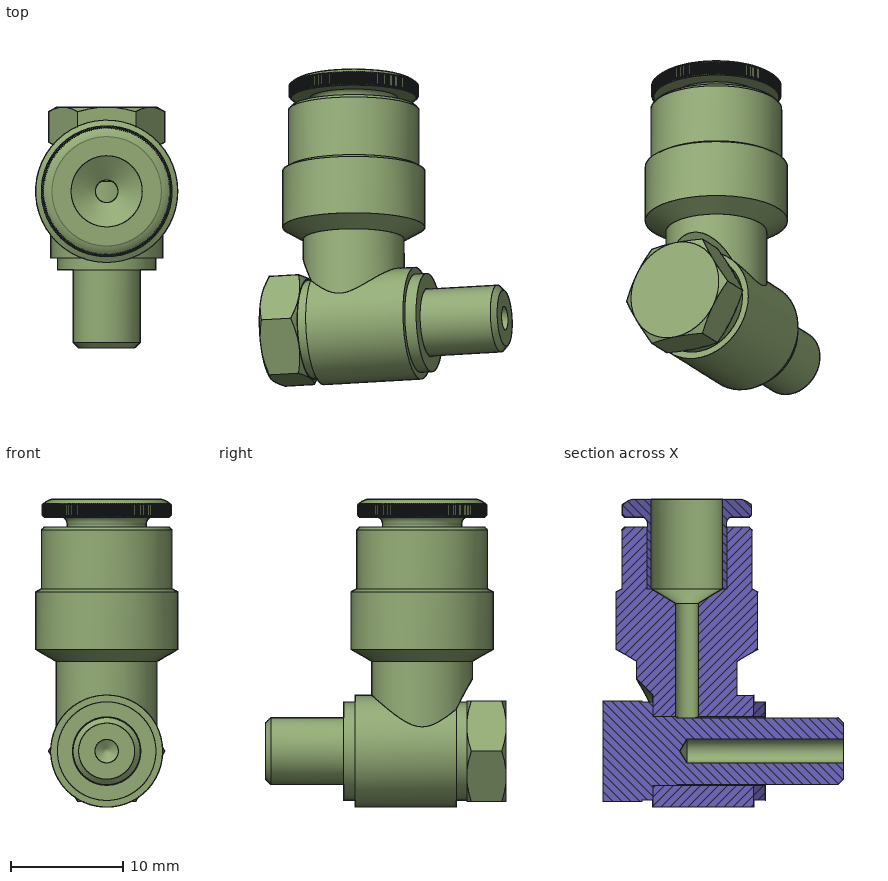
import cadquery as cq
import math


drill_point_angle = 118.0

top_z = 22.5
collar_bottom_z = 20.87
neck_straight_z = 20.27
sleeve_top_z = 20.02
step_z = 14.5
cup_bottom_z = 9.08
stem_top_z = 8.0

edge_chamfer = 0.28
cup_d = 12.7
sleeve_d = 11.7
stem_d = 9.02
passage_d = 2.0

button_d = 11.55
button_face_d = 9.75
button_rim_height = 1.1
button_rim_arc_radius = 1.92
button_chamfer = 0.2
neck_d = 7.1
neck_flare_d = 7.8
tube_bore_d = 6.35
knurl_count = 192
knurl_depth = 0.15

barrel_d = 10.0
barrel_rear_y = 3.05
barrel_front_y = -5.97
bolt_bore_d = 6.1

gasket_d = 8.8
gasket_front_y = -7.0

hex_sides = 6
shank_d = 6.0
shank_tip_d = 5.0
shank_front_y = -14.0
seat_front_y = 0.88
flange_d = gasket_d
flange_rear_y = 4.0
hex_flats = 9.0
hex_rear_y = 7.5
hex_chamfer_angle = 30.0
drill_d = 2.1
drill_end_y = 0.0


def point_depth(wide_d, narrow_d):
    """Length over which a drill point narrows from one diameter to another."""
    return (wide_d - narrow_d) / 2 / math.tan(math.radians(drill_point_angle / 2))


def disc_z(diameter, bottom_z, upper_z):
    """Cylinder on the Z axis between two levels."""
    return cq.Workplane("XY").workplane(offset=bottom_z).circle(diameter / 2).extrude(upper_z - bottom_z)


def cone_z(bottom_d, bottom_z, upper_d, upper_z):
    """Cone frustum on the Z axis between two levels."""
    return (
        cq.Workplane("XZ")
        .moveTo(0, bottom_z)
        .lineTo(bottom_d / 2, bottom_z)
        .lineTo(upper_d / 2, upper_z)
        .lineTo(0, upper_z)
        .close()
        .revolve(360, (0, 0, 0), (0, 1, 0))
    )


def disc_y(diameter, front_y, rear_y):
    """Cylinder on the Y axis between two stations."""
    return cq.Workplane("XZ", origin=(0, rear_y, 0)).circle(diameter / 2).extrude(rear_y - front_y)


def cone_y(front_d, front_y, rear_d, rear_y):
    """Cone on the Y axis; the rear diameter may be zero."""
    profile = cq.Workplane("XY").moveTo(0, front_y).lineTo(front_d / 2, front_y)
    if rear_d > 0:
        profile = profile.lineTo(rear_d / 2, rear_y)
    return profile.lineTo(0, rear_y).close().revolve(360, (0, 0, 0), (0, 1, 0))


def make_stem():
    """Round stem joining the barrel to the cup, relieved by a 45 degree cone behind the barrel."""
    stem = disc_z(stem_d, 0, stem_top_z)
    relief_length = stem_d
    relief = cone_y(barrel_d, barrel_rear_y, barrel_d + 2 * relief_length, barrel_rear_y + relief_length)
    return stem.cut(relief)


def make_body():
    """Barrel, stem, cup and sleeve in one piece, with the button socket and the passage."""
    cup_base = cone_z(stem_d, stem_top_z, cup_d, cup_bottom_z)
    cup = disc_z(cup_d, cup_bottom_z, step_z - edge_chamfer)
    cup_shoulder = cone_z(cup_d, step_z - edge_chamfer, sleeve_d, step_z)
    sleeve = disc_z(sleeve_d, step_z, sleeve_top_z).faces(">Z").chamfer(edge_chamfer)
    body = disc_y(barrel_d, barrel_front_y, barrel_rear_y)
    for part in (make_stem(), cup_base, cup, cup_shoulder, sleeve):
        body = body.union(part)

    button_socket = disc_z(neck_d, step_z, sleeve_top_z)
    passage_cone = cone_z(passage_d, step_z - point_depth(tube_bore_d, passage_d), tube_bore_d, step_z)
    passage = disc_z(passage_d, 0, step_z)
    bolt_bore = disc_y(bolt_bore_d, barrel_front_y, barrel_rear_y)
    return body.cut(button_socket).cut(passage_cone).cut(passage).cut(bolt_bore)


def knurl_outline():
    """Closed outline of flat-topped teeth with flat grooves of the same width between them."""
    tip_r = button_d / 2
    root_r = tip_r - knurl_depth
    corner_radii = (tip_r, tip_r, root_r, root_r)
    corner_count = knurl_count * len(corner_radii)
    points = []
    for corner in range(corner_count):
        radius = corner_radii[corner % len(corner_radii)]
        angle = 2 * math.pi * corner / corner_count
        points.append((radius * math.cos(angle), radius * math.sin(angle)))
    return cq.Workplane("XY").workplane(offset=collar_bottom_z).polyline(points).close()


def make_button():
    """Knurled release button with a flared neck and a straight tube bore."""
    rim_r = button_d / 2
    neck_r = neck_d / 2
    bore_r = tube_bore_d / 2
    rim_top_z = collar_bottom_z + button_rim_height
    flare_run = neck_flare_d / 2 - neck_r
    flare_rise = collar_bottom_z - neck_straight_z
    flare_radius = (flare_run**2 + flare_rise**2) / (2 * flare_run)
    button = (
        cq.Workplane("XZ")
        .moveTo(bore_r, step_z)
        .lineTo(neck_r, step_z)
        .lineTo(neck_r, neck_straight_z)
        .radiusArc((neck_flare_d / 2, collar_bottom_z), flare_radius)
        .lineTo(rim_r - button_chamfer, collar_bottom_z)
        .lineTo(rim_r, collar_bottom_z + button_chamfer)
        .lineTo(rim_r, rim_top_z)
        .radiusArc((button_face_d / 2, top_z), -button_rim_arc_radius)
        .lineTo(bore_r, top_z)
        .close()
        .revolve(360, (0, 0, 0), (0, 1, 0))
    )
    knurl_limit = knurl_outline().extrude(top_z - collar_bottom_z)
    neck_limit = disc_z(neck_flare_d, step_z, collar_bottom_z)
    return button.intersect(knurl_limit.union(neck_limit))


def make_gasket():
    """Flat ring with a loose bore around the shank."""
    return disc_y(gasket_d, gasket_front_y, barrel_front_y).cut(
        disc_y(bolt_bore_d, gasket_front_y, barrel_front_y)
    )


def make_bolt_head():
    """Hexagon with flats up and down, both ends chamfered down to the flats."""
    corner_d = hex_flats / math.cos(math.pi / hex_sides)
    chamfer_depth = (corner_d - hex_flats) / 2 * math.tan(math.radians(hex_chamfer_angle))
    head = (
        cq.Workplane("XZ", origin=(0, hex_rear_y, 0))
        .polygon(hex_sides, corner_d)
        .extrude(hex_rear_y - flange_rear_y)
    )
    limit = (
        cone_y(hex_flats, flange_rear_y, corner_d, flange_rear_y + chamfer_depth)
        .union(disc_y(corner_d, flange_rear_y + chamfer_depth, hex_rear_y - chamfer_depth))
        .union(cone_y(corner_d, hex_rear_y - chamfer_depth, hex_flats, hex_rear_y))
    )
    return head.intersect(limit)


def make_bolt():
    """Drilled banjo bolt: head, flange, seat that fills the bore, and a shank with a chamfered tip."""
    shank = disc_y(shank_d, shank_front_y, flange_rear_y).faces("<Y").chamfer((shank_d - shank_tip_d) / 2)
    seat = disc_y(bolt_bore_d, seat_front_y, barrel_rear_y)
    flange = disc_y(flange_d, barrel_rear_y, flange_rear_y)
    drill = disc_y(drill_d, shank_front_y, drill_end_y).union(
        cone_y(drill_d, drill_end_y, 0, drill_end_y + point_depth(drill_d, 0))
    )
    return shank.union(seat).union(flange).union(make_bolt_head()).cut(drill)


body = make_body()
button = make_button()
gasket = make_gasket()
bolt = make_bolt()

result = cq.Compound.makeCompound([body.val(), button.val(), gasket.val(), bolt.val()])